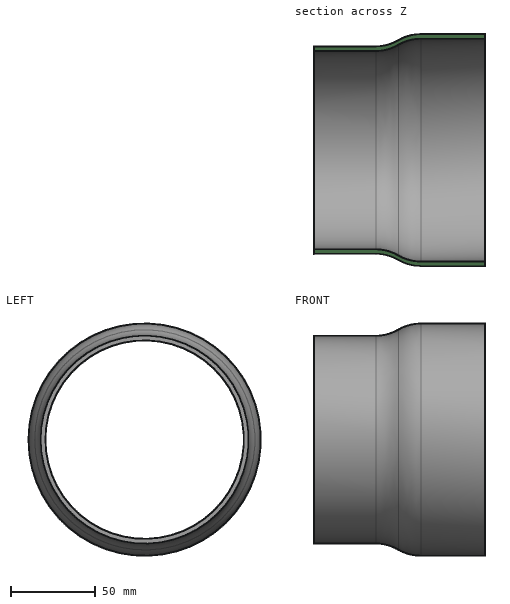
import cadquery as cq

length = 101.5
large_radius = 69.0
small_radius = 61.7
wall = 2.9

shoulder_start = 36.5
shoulder_end = 63.5


def reducer_solid(inset):
    """Solid of revolution bounded by the outer surface moved inward by inset."""
    small = small_radius - inset
    large = large_radius - inset
    middle = ((shoulder_start + shoulder_end) / 2, (small + large) / 2)
    return (
        cq.Workplane("XY")
        .moveTo(0, 0)
        .lineTo(0, small)
        .lineTo(shoulder_start, small)
        .tangentArcPoint(middle, relative=False)
        .tangentArcPoint((shoulder_end, large), relative=False)
        .lineTo(length, large)
        .lineTo(length, 0)
        .close()
        .revolve(360, (0, 0, 0), (1, 0, 0))
    )


outer_body = reducer_solid(0)
bore = reducer_solid(wall)
result = outer_body.cut(bore)